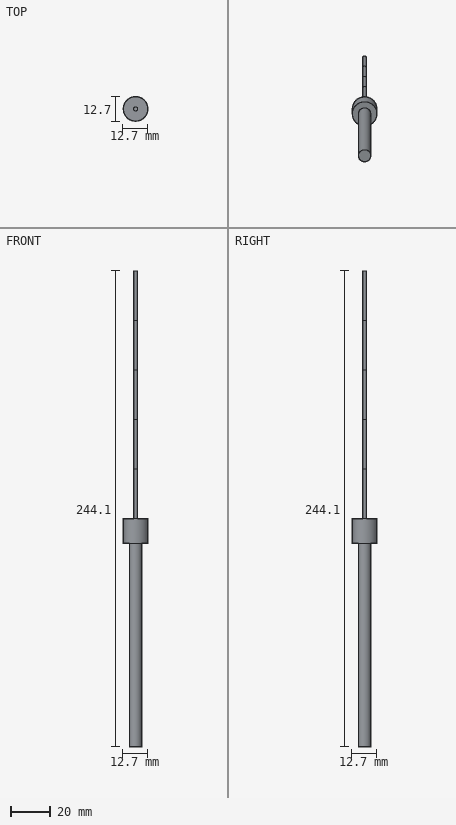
import cadquery as cq

TOTAL_LENGTH = 244.09

BODY_DIAMETER = 12.7
BODY_LENGTH = BODY_DIAMETER

SHEATH_DIAMETER = BODY_DIAMETER / 2

LEAD_DIAMETER = 2.1
LEAD_SEGMENT_LENGTH = 25.4
LEAD_SEGMENT_COUNT = 5

BODY_TOP = TOTAL_LENGTH - LEAD_SEGMENT_COUNT * LEAD_SEGMENT_LENGTH
SHEATH_LENGTH = BODY_TOP - BODY_LENGTH


def rod(diameter, length, base_height):
    """Solid cylinder on the Z axis, standing on base_height."""
    return cq.Workplane("XY").workplane(offset=base_height).circle(diameter / 2).extrude(length)


def make_sheath():
    """Long round probe below the body."""
    return rod(SHEATH_DIAMETER, SHEATH_LENGTH, 0)


def make_body():
    """Short wide collar between the sheath and the lead."""
    return rod(BODY_DIAMETER, BODY_LENGTH, SHEATH_LENGTH)


def make_lead_segment(index):
    """One length of the lead, counted upward from the body."""
    base_height = BODY_TOP + index * LEAD_SEGMENT_LENGTH
    return rod(LEAD_DIAMETER, LEAD_SEGMENT_LENGTH, base_height)


sheath = make_sheath()
body = make_body()
lead_segments = [make_lead_segment(index) for index in range(LEAD_SEGMENT_COUNT)]

result = cq.Compound.makeCompound(
    [sheath.val(), body.val(), *[segment.val() for segment in lead_segments]]
)